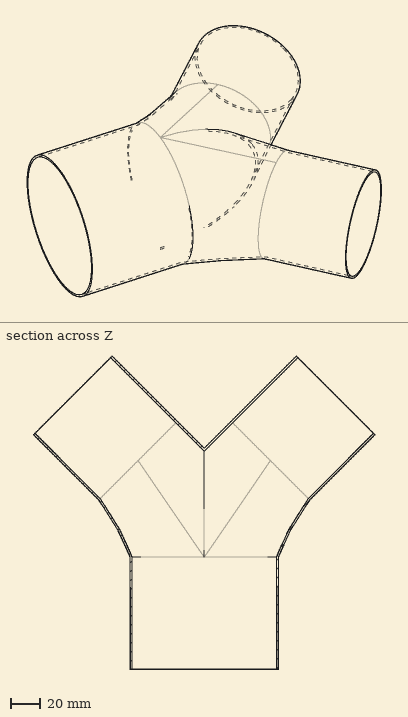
import cadquery as cq
import math

overall_width = 233.5
overall_length = 214.0
main_diameter = 101.5
branch_diameter = 76.0
wall = 1.52
main_length = 76.5
branch_length = 63.0
branch_angle = 45.0
flank_depth = 39.7

OUTWARD = -1
INWARD = 1

angle = math.radians(branch_angle)
axis_x = -math.sin(angle)
axis_y = math.cos(angle)
branch_radius = branch_diameter / 2
end_x = -overall_width / 2 + branch_radius * math.cos(angle)
end_y = overall_length - branch_radius * math.sin(angle)
start_x = end_x - branch_length * axis_x
start_y = end_y - branch_length * axis_y


def section_plane(x, y, tilt_degrees):
    """Plane square to a pipe axis that leans from +Y toward -X."""
    tilt = math.radians(tilt_degrees)
    normal = (-math.sin(tilt), math.cos(tilt), 0)
    return cq.Plane(origin=(x, y, 0), xDir=(0, 0, 1), normal=normal)


def half_section(plane, radius, depth, side):
    """Closed half ellipse: a chord along Z and an arc bulging to the given side of it."""
    center = plane.origin
    z_axis = plane.xDir
    bulge_axis = plane.yDir * side
    normal = z_axis.cross(bulge_axis)
    if depth < radius:
        arc = cq.Edge.makeEllipse(radius, depth, center, normal, z_axis, 0, 180)
    else:
        arc = cq.Edge.makeEllipse(depth, radius, center, normal, bulge_axis, -90, 90)
    chord = cq.Edge.makeLine(arc.endPoint(), arc.startPoint())
    return cq.Wire.assembleEdges([arc, chord])


def outer_half(main_radius, outlet_radius, inset):
    """Curved flank between the outward half of the main pipe and that of the left branch."""
    main_plane = section_plane(0, main_length, 0)
    middle_plane = section_plane(start_x / 2, (main_length + start_y) / 2, branch_angle / 2)
    branch_plane = section_plane(start_x, start_y, branch_angle)
    middle_radius = (main_radius + outlet_radius) / 2
    sections = [
        half_section(main_plane, main_radius, main_radius, OUTWARD),
        half_section(middle_plane, middle_radius, flank_depth - inset, OUTWARD),
        half_section(branch_plane, outlet_radius, outlet_radius, OUTWARD),
    ]
    return cq.Workplane(cq.Solid.makeLoft(sections))


def inner_half(main_radius, outlet_radius):
    """Straight-ruled web between the crotch ellipse at X = 0 and the inward half of the left branch."""
    crotch_plane = section_plane(0, main_length, 90)
    branch_plane = section_plane(start_x, start_y, branch_angle)
    inner_x = start_x + outlet_radius * math.cos(angle)
    inner_y = start_y + outlet_radius * math.sin(angle)
    crotch_depth = inner_y + inner_x / math.tan(angle) - main_length
    sections = [
        half_section(crotch_plane, main_radius, crotch_depth, INWARD),
        half_section(branch_plane, outlet_radius, outlet_radius, INWARD),
    ]
    return cq.Workplane(cq.Solid.makeLoft(sections, True))


def filled_fitting(inset):
    """Solid Y shape with every radius reduced by the inset."""
    main_radius = main_diameter / 2 - inset
    outlet_radius = branch_radius - inset
    main = cq.Workplane(section_plane(0, 0, 0)).circle(main_radius).extrude(main_length)
    branch_plane = section_plane(start_x, start_y, branch_angle)
    branch = cq.Workplane(branch_plane).circle(outlet_radius).extrude(branch_length)
    flank = outer_half(main_radius, outlet_radius, inset)
    web = inner_half(main_radius, outlet_radius)
    left_arm = flank.union(web).union(branch)
    return main.union(left_arm).union(left_arm.mirror("YZ"))


result = filled_fitting(0).cut(filled_fitting(wall))